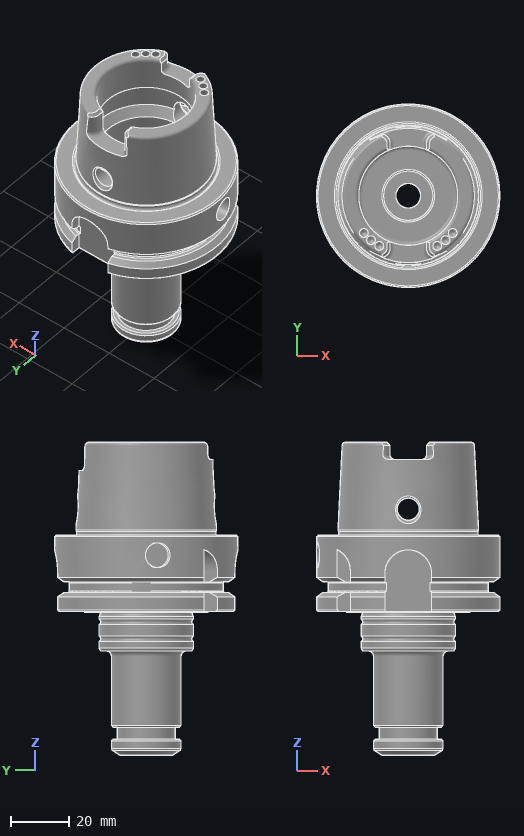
import cadquery as cq
import math


total_length = 107.5
shank_length = 31.9
taper_base_radius = 24.2
taper_base_z = 1.8
taper_rate = 1 / 20
rim_fillet = 1.2
relief_radius = 24.0
relief_top_z = 1.2
relief_fillet = 0.9

face_groove_depth = 0.4
face_groove_radius = 25.4

flange_radius = 31.5
flange_bottom_z = -26.2
flange_chamfer = 0.5
gripper_z = -17.8
gripper_mouth_half = 3.39
gripper_floor_half = 1.77
gripper_step_radius = 29.3
gripper_floor_radius = 27.5
gripper_corner_radius = 0.4

seat_radius = 21.2
seat_bottom_z = -26.5
collar_radius = 16.2
collar_edge_radius = 15.9
collar_groove_radius = 15.7
collar_groove_edge = 0.3
collar_first_land_z = -27.8
collar_grooves = [(-28.8, -30.7), (-34.6, -36.5)]
collar_bottom_z = -39.8
collar_bottom_chamfer_height = 1.0
collar_bottom_chamfer_width = 0.5

spigot_radius = 11.99
spigot_fillet = 1.8
spigot_bottom_z = -66.0
spigot_chamfer_height = 0.8
spigot_chamfer_width = 0.6
neck_radius = 10.0
head_top_z = -70.0
head_chamfer = 0.6
head_land_bottom_z = -73.2
head_shoulder_z = -73.9
head_shoulder_radius = 11.7
head_tip_radius = 9.0

mouth_radius = 17.0
mouth_fillet = 1.3
mouth_bottom_z = 18.8
chamber_radius = 20.0
chamber_shoulder_height = 1.7
chamber_bottom_z = 8.1
well_floor_z = -9.4
well_fillet = 1.3
tube_bore_radius = 8.44
tube_bore_chamfer = 0.59
tube_bore_depth = 10.0
through_bore_radius = 4.2

drive_half_width = 6.2
drive_straight_y = 18.0
drive_flare_radius = 3.3
drive_floor_fillet = 1.6
drive_edge_chamfer = 1.1
front_drive_depth = 5.9
back_drive_depth = 9.7

balance_diameter = 3.0
balance_circle_radius = 19.9
balance_angles = [40, 50, 60]
balance_depth = 4.0
drill_tip_angle = 118

access_z = 8.9
access_diameter = 7.5
access_sink_diameter = 9.5

grip_slot_width = 16.0
grip_slot_floor = 26.5
grip_slot_top_z = -5.0
notch_wall = 19.9
notch_arc_z = -12.2

chip_diameter = 8.5
chip_depth = 5.0
chip_z = -6.9
chip_offset_y = -4.0

tip_z = shank_length - total_length
rim_radius = taper_base_radius - taper_rate * (shank_length - taper_base_z)
clearance = 2.2


def make_body():
    groove_top = gripper_z + gripper_floor_half
    groove_bottom = gripper_z - gripper_floor_half
    corner = gripper_corner_radius
    profile = (
        cq.Workplane("XZ")
        .moveTo(0, shank_length)
        .lineTo(rim_radius, shank_length)
        .lineTo(taper_base_radius, taper_base_z)
        .lineTo(relief_radius, relief_top_z)
        .lineTo(relief_radius, relief_fillet - face_groove_depth)
        .radiusArc((relief_radius + relief_fillet, -face_groove_depth), -relief_fillet)
        .lineTo(face_groove_radius, 0)
        .lineTo(flange_radius - flange_chamfer, 0)
        .lineTo(flange_radius, -flange_chamfer)
        .lineTo(flange_radius, gripper_z + gripper_mouth_half)
        .lineTo(gripper_step_radius, groove_top)
        .lineTo(gripper_floor_radius + corner, groove_top)
        .radiusArc((gripper_floor_radius, groove_top - corner), -corner)
        .lineTo(gripper_floor_radius, groove_bottom + corner)
        .radiusArc((gripper_floor_radius + corner, groove_bottom), -corner)
        .lineTo(gripper_step_radius, groove_bottom)
        .lineTo(flange_radius, gripper_z - gripper_mouth_half)
        .lineTo(flange_radius, flange_bottom_z + flange_chamfer)
        .lineTo(flange_radius - flange_chamfer, flange_bottom_z)
        .lineTo(seat_radius, flange_bottom_z)
        .lineTo(seat_radius, seat_bottom_z)
        .lineTo(collar_edge_radius, seat_bottom_z)
        .threePointArc(
            (collar_edge_radius, (seat_bottom_z + collar_first_land_z) / 2),
            (collar_radius, collar_first_land_z),
        )
    )
    for top, bottom in collar_grooves:
        profile = (
            profile.lineTo(collar_radius, top)
            .lineTo(collar_edge_radius, top - collar_groove_edge)
            .threePointArc(
                (collar_groove_radius, (top + bottom) / 2),
                (collar_edge_radius, bottom + collar_groove_edge),
            )
            .lineTo(collar_radius, bottom)
        )
    profile = (
        profile.lineTo(collar_radius, collar_bottom_z + collar_bottom_chamfer_height)
        .lineTo(collar_radius - collar_bottom_chamfer_width, collar_bottom_z)
        .lineTo(spigot_radius + spigot_fillet, collar_bottom_z)
        .radiusArc((spigot_radius, collar_bottom_z - spigot_fillet), -spigot_fillet)
        .lineTo(spigot_radius, spigot_bottom_z + spigot_chamfer_height)
        .lineTo(spigot_radius - spigot_chamfer_width, spigot_bottom_z)
        .lineTo(neck_radius, spigot_bottom_z)
        .lineTo(neck_radius, head_top_z)
        .lineTo(spigot_radius - head_chamfer, head_top_z)
        .lineTo(spigot_radius, head_top_z - head_chamfer)
        .lineTo(spigot_radius, head_land_bottom_z)
        .lineTo(head_shoulder_radius, head_shoulder_z)
        .lineTo(head_tip_radius, tip_z)
        .lineTo(0, tip_z)
        .close()
    )
    body = profile.revolve(360, (0, 0, 0), (0, 1, 0))
    return body.faces(">Z").edges().fillet(rim_fillet)


def make_bores():
    tube_bottom_z = well_floor_z - tube_bore_depth
    return (
        cq.Workplane("XZ")
        .moveTo(0, shank_length)
        .lineTo(mouth_radius + mouth_fillet, shank_length)
        .radiusArc((mouth_radius, shank_length - mouth_fillet), -mouth_fillet)
        .lineTo(mouth_radius, mouth_bottom_z)
        .lineTo(chamber_radius, mouth_bottom_z - chamber_shoulder_height)
        .lineTo(chamber_radius, chamber_bottom_z)
        .lineTo(mouth_radius, chamber_bottom_z - (chamber_radius - mouth_radius))
        .lineTo(mouth_radius, well_floor_z + well_fillet)
        .radiusArc((mouth_radius - well_fillet, well_floor_z), well_fillet)
        .lineTo(tube_bore_radius + tube_bore_chamfer, well_floor_z)
        .lineTo(tube_bore_radius, well_floor_z - tube_bore_chamfer)
        .lineTo(tube_bore_radius, tube_bottom_z)
        .lineTo(through_bore_radius, tube_bottom_z)
        .lineTo(through_bore_radius, tip_z)
        .lineTo(0, tip_z)
        .close()
        .revolve(360, (0, 0, 0), (0, 1, 0))
    )


def flared_slot(bottom_z, height, taper):
    """Slot open to +Y whose walls flare outwards in a quarter round near the outside."""
    flare_x = drive_half_width + drive_flare_radius
    flare_y = drive_straight_y + drive_flare_radius
    outer_x = flare_x + clearance
    outer_y = taper_base_radius + clearance
    return (
        cq.Workplane("XY", origin=(0, 0, bottom_z))
        .lineTo(drive_half_width, 0)
        .lineTo(drive_half_width, drive_straight_y)
        .radiusArc((flare_x, flare_y), drive_flare_radius)
        .lineTo(outer_x, flare_y)
        .lineTo(outer_x, outer_y)
        .lineTo(0, outer_y)
        .mirrorY()
        .extrude(height, taper=taper)
    )


def make_drive_slot(depth):
    """Slot on the +Y side with rounded floor corners and chamfered top edges."""
    slot = flared_slot(shank_length - depth, depth, 0)
    slot = slot.faces("<Z").edges().fillet(drive_floor_fillet)
    edge_break = flared_slot(shank_length - drive_edge_chamfer, drive_edge_chamfer, -45)
    return slot.union(edge_break)


def make_balance_holes():
    tip_depth = balance_diameter / 2 / math.tan(math.radians(drill_tip_angle / 2))
    drill = (
        cq.Workplane("XZ")
        .lineTo(balance_diameter / 2, 0)
        .lineTo(balance_diameter / 2, -balance_depth)
        .lineTo(0, -balance_depth - tip_depth)
        .close()
        .revolve(360, (0, 0, 0), (0, 1, 0))
    )
    holes = cq.Workplane("XY")
    for angle in balance_angles:
        x = balance_circle_radius * math.cos(math.radians(angle))
        y = -balance_circle_radius * math.sin(math.radians(angle))
        for side_x in (-x, x):
            holes = holes.add(drill.translate((side_x, y, shank_length)))
    return holes.combine()


def make_access_hole():
    """Cross hole along Y through both walls, countersunk 45 degrees outside."""
    wall_radius = taper_base_radius - taper_rate * (access_z - taper_base_z)
    reach = wall_radius + clearance
    sink_radius = access_sink_diameter / 2
    hole_radius = access_diameter / 2
    sink_bottom = wall_radius - (sink_radius - hole_radius)
    return (
        cq.Workplane("XY", origin=(0, 0, access_z))
        .moveTo(0, -reach)
        .lineTo(sink_radius + clearance, -reach)
        .lineTo(hole_radius, -sink_bottom)
        .lineTo(hole_radius, sink_bottom)
        .lineTo(sink_radius + clearance, reach)
        .lineTo(0, reach)
        .close()
        .revolve(360, (0, 0, 0), (0, 1, 0))
    )


def round_topped_slot(center_x, arc_z, floor_y):
    """Vertical slot on the -Y side, open at the flange bottom and rounded at the top."""
    half = grip_slot_width / 2
    bottom_z = flange_bottom_z
    return (
        cq.Workplane("XZ", origin=(center_x, -floor_y, 0))
        .moveTo(-half, bottom_z)
        .lineTo(-half, arc_z)
        .threePointArc((0, arc_z + half), (half, arc_z))
        .lineTo(half, bottom_z)
        .close()
        .extrude(flange_radius + clearance - floor_y)
    )


def make_flange_slots():
    half = grip_slot_width / 2
    front_slot = round_topped_slot(0, grip_slot_top_z - half, grip_slot_floor)
    back_slot = front_slot.mirror("XZ")
    notch = round_topped_slot(-notch_wall - half, notch_arc_z, notch_wall)
    return front_slot.union(back_slot).union(notch)


def make_chip_hole():
    """Blind hole aimed at the tool axis from the -X side."""
    tilt = math.degrees(math.asin(-chip_offset_y / flange_radius))
    return (
        cq.Workplane("YZ", origin=(-flange_radius - clearance, 0, chip_z))
        .circle(chip_diameter / 2)
        .extrude(clearance + chip_depth)
        .rotate((0, 0, 0), (0, 0, 1), tilt)
    )


result = (
    make_body()
    .cut(make_bores())
    .cut(make_drive_slot(back_drive_depth))
    .cut(make_drive_slot(front_drive_depth).mirror("XZ"))
    .cut(make_balance_holes())
    .cut(make_access_hole())
    .cut(make_flange_slots())
    .cut(make_chip_hole())
)